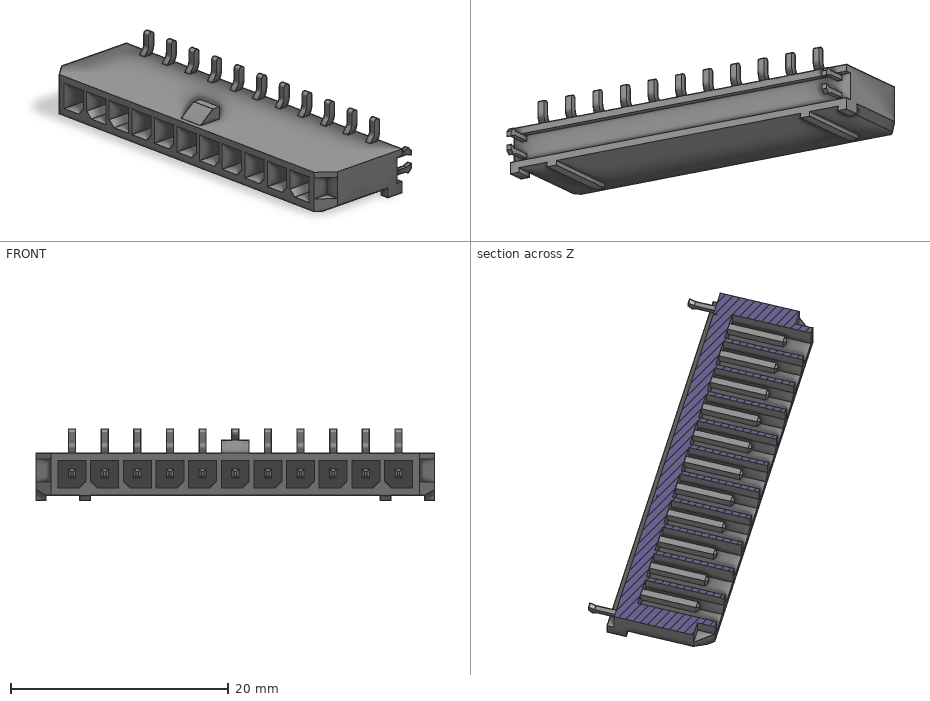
import cadquery as cq
import math

LENGTH = 36.65
DEPTH = 9.9
HEIGHT = 3.9
FOOT_DROP = 0.45

CORNER_X = 1.4
CORNER_Y = 1.65
CORNER_LIP_TOP = 0.55
CORNER_LIP_BOTTOM = 1.25

BEVEL_X = 0.9
BEVEL_Z = 0.55
FOOT_LENGTH = 1.85

RECESS_DEPTH = 0.65
RECESS_BOTTOM = 0.65
RECESS_TOP = 3.23

RAIL_WIDTH = 1.0
RAIL_X = 13.8
RAIL_FRONT = 1.6

KEY_SIDES = (1, -1, -1, 1, 1, 1, 1, 1, 1, 1, -1)
ROW_SPAN = 30.0
PITCH = ROW_SPAN / (len(KEY_SIDES) - 1)
CAVITY_WIDTH = 2.55
CAVITY_BOTTOM = 0.7
CAVITY_TOP = 3.23
CAVITY_DEPTH = 7.5
KEY_BEVEL = 0.62

PIN_WIDTH = 0.65
PIN_HEIGHT = 0.85
PIN_Z = 2.0
PIN_SETBACK = 2.0
PIN_TIP_BEVEL = 0.22

TAIL_RISE = 2.25
TAIL_THICKNESS = 0.65
TAIL_BEND_TOP = 1.0
TAIL_BEND_RADIUS = 0.9
TAIL_BEND_ANGLE = 38.0
TAIL_ROOT_LENGTH = 0.9

LATCH_WIDTH = 2.55
LATCH_HEIGHT = 1.2
LATCH_REAR = 2.95
LATCH_CREST = 2.13
LATCH_FRONT = 0.5

CLIP_X = 17.2
CLIP_WIDTH = 0.48
CLIP_Z = 2.05
CLIP_REACH = 2.0
CLIP_EMBED = 0.35
PRONG_INNER = 0.62
PRONG_OUTER = 1.05
TIP_INNER = 0.4
TIP_OUTER = 0.88
TIP_HOOK = 0.6
BARB_CREST = 1.25
BARB_RISE = 0.35
BARB_LENGTH = 0.88


def box(x_mid, width, y_range, z_range):
    """Box centred on x_mid, filling the given Y and Z ranges."""
    size = (width, y_range[1] - y_range[0], z_range[1] - z_range[0])
    corner = (x_mid, y_range[0], z_range[0])
    return cq.Workplane("XY", origin=corner).box(*size, centered=(True, False, False))


def side_prism(outline, x_mid, width):
    """Prism along X with a (Y, Z) outline, centred on x_mid."""
    return cq.Workplane("YZ", origin=(x_mid, 0, 0)).polyline(outline).close().extrude(width / 2, both=True)


def end_cuts(side):
    """Material removed at one end of the housing (side is -1 or +1)."""
    end = side * LENGTH / 2
    inner = end - side * CORNER_X
    bevel = cq.Workplane("XY").polyline([(inner, 0), (end, 0), (end, CORNER_Y)]).close().extrude(HEIGHT)
    hollow = box(
        end - side * CORNER_X / 2, CORNER_X, (0, CORNER_Y), (CORNER_LIP_BOTTOM, HEIGHT - CORNER_LIP_TOP)
    )
    lower_edge = (
        cq.Workplane("XZ")
        .polyline([(end - side * BEVEL_X, 0), (end, 0), (end, BEVEL_Z)])
        .close()
        .extrude(-(DEPTH - FOOT_LENGTH))
    )
    return bevel.union(hollow).union(lower_edge)


def housing():
    """Solid housing with shaped ends, rear feet, rails and rear recess."""
    body = box(0, LENGTH, (0, DEPTH), (0, HEIGHT))
    for side in (-1, 1):
        body = body.cut(end_cuts(side))
        foot_x = side * (LENGTH - BEVEL_X) / 2
        body = body.union(box(foot_x, BEVEL_X, (DEPTH - FOOT_LENGTH, DEPTH), (-FOOT_DROP, HEIGHT)))
        body = body.union(box(side * RAIL_X, RAIL_WIDTH, (RAIL_FRONT, DEPTH), (-FOOT_DROP, 0)))
    return body.cut(box(0, LENGTH, (DEPTH - RECESS_DEPTH, DEPTH), (RECESS_BOTTOM, RECESS_TOP)))


def cavity(x_mid, key_side):
    """Pocket open at the front face with one lower corner bevelled."""
    pocket = box(x_mid, CAVITY_WIDTH, (0, CAVITY_DEPTH), (CAVITY_BOTTOM, CAVITY_TOP))
    key_edge = ">X" if key_side > 0 else "<X"
    return pocket.faces("<Z").edges(key_edge).chamfer(KEY_BEVEL)


def pin(x_mid):
    """Straight contact from the end of the cavity with a tapered tip."""
    z_range = (PIN_Z - PIN_HEIGHT / 2, PIN_Z + PIN_HEIGHT / 2)
    blade = box(x_mid, PIN_WIDTH, (PIN_SETBACK, CAVITY_DEPTH), z_range)
    return blade.faces("<Y").chamfer(PIN_TIP_BEVEL)


def tail(x_mid):
    """Round-tipped upright tail that bends forward and runs down into the housing."""
    angle = math.radians(TAIL_BEND_ANGLE)
    front = DEPTH - TAIL_THICKNESS
    bend_z = HEIGHT + TAIL_BEND_TOP
    outer_radius = TAIL_BEND_RADIUS + TAIL_THICKNESS
    tip_round = TAIL_THICKNESS / 2
    tip_z = HEIGHT + TAIL_RISE

    def bend_point(radius, turn, run=0):
        """Point on a bend arc after the given turn, then run along its tangent."""
        y = front - TAIL_BEND_RADIUS + radius * math.cos(turn) - run * math.sin(turn)
        z = bend_z - radius * math.sin(turn) - run * math.cos(turn)
        return y, z

    return (
        cq.Workplane("YZ", origin=(x_mid, 0, 0))
        .moveTo(front, tip_z - tip_round)
        .lineTo(front, bend_z)
        .threePointArc(bend_point(TAIL_BEND_RADIUS, angle / 2), bend_point(TAIL_BEND_RADIUS, angle))
        .lineTo(*bend_point(TAIL_BEND_RADIUS, angle, TAIL_ROOT_LENGTH))
        .lineTo(*bend_point(outer_radius, angle, TAIL_ROOT_LENGTH))
        .lineTo(*bend_point(outer_radius, angle))
        .threePointArc(bend_point(outer_radius, angle / 2), (DEPTH, bend_z))
        .lineTo(DEPTH, tip_z - tip_round)
        .threePointArc((DEPTH - tip_round, tip_z), (front, tip_z - tip_round))
        .close()
        .extrude(PIN_WIDTH / 2, both=True)
    )


def latch():
    """Ramp that falls towards the front face."""
    crest_z = HEIGHT + LATCH_HEIGHT
    outline = [(LATCH_REAR, HEIGHT), (LATCH_REAR, crest_z), (LATCH_CREST, crest_z), (LATCH_FRONT, HEIGHT)]
    return side_prism(outline, 0, LATCH_WIDTH)


def prong(x_mid, up):
    """Barbed prong above (up = +1) or below (up = -1) the clip's mid-height."""
    root = DEPTH - RECESS_DEPTH - CLIP_EMBED
    tip = DEPTH + CLIP_REACH
    profile = [
        (root, PRONG_INNER),
        (tip - TIP_HOOK, PRONG_INNER),
        (tip, TIP_INNER),
        (tip, TIP_OUTER),
        (tip - BARB_RISE, BARB_CREST),
        (tip - BARB_LENGTH, PRONG_OUTER),
        (root, PRONG_OUTER),
    ]
    return side_prism([(y, CLIP_Z + up * rise) for y, rise in profile], x_mid, CLIP_WIDTH)


result = housing().union(latch())
for position, key_side in enumerate(KEY_SIDES):
    x_mid = position * PITCH - ROW_SPAN / 2
    result = result.cut(cavity(x_mid, key_side)).union(pin(x_mid)).union(tail(x_mid))
for side in (-1, 1):
    for up in (-1, 1):
        result = result.union(prong(side * CLIP_X, up))